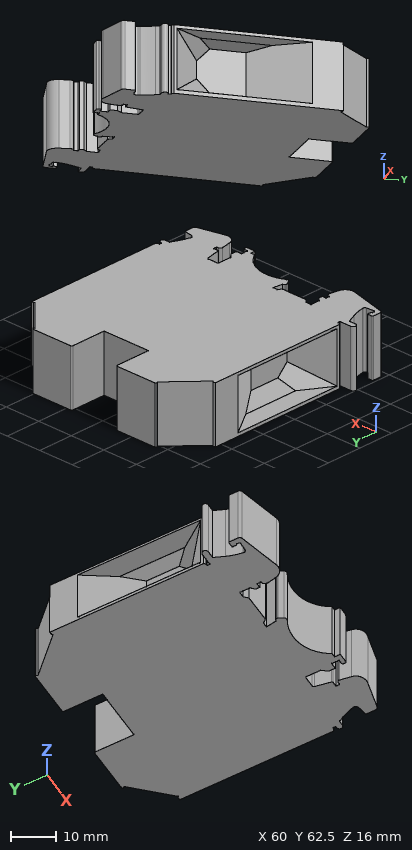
import cadquery as cq
import math

height = 62.5
thickness = 16.0

body_half = 28.3
neck_half = 27.45
top_half = 18.8
shoulder_y = 53.2
shoulder_half = 27.55
shoulder_dip = 0.25
bevel_top_y = 61.75
lip_drop = 0.3
lip_reach = 0.25
slot_half = 6.8
slot_floor_y = 52.25
slot_lip_radius = 0.4
body_bottom_y = 13.4
body_bottom_chamfer = 0.4

tab_top_y = 12.7
rail_y = 11.1
tab_radius = (tab_top_y - rail_y) / 2
left_tab_x = -31.5
right_tab_x = 28.5

hook_radius = 0.75
saddle_x = 0.2
saddle_top_y = 7.5
saddle_radius = 9.7

funnel_depth = 8.3
funnel_straight_depth = 5.05
mouth_y = (14.5, 46.05)
mouth_z = (0.95, 15.2)
floor_y = (21.8, 33.3)
floor_z = (3.8, 14.0)
lower_corner_leg = 13.1
upper_corner_leg = 11.55

min_edge = 0.0005


def rounded_outline(corners):
    """Closed outline through (x, y) corners; a third value rounds that corner."""
    wire = None
    count = len(corners)
    for i, corner in enumerate(corners):
        vertex = cq.Vector(corner[0], corner[1])
        radius = corner[2] if len(corner) > 2 else 0
        before = corners[i - 1]
        after = corners[(i + 1) % count]
        to_before = (cq.Vector(before[0], before[1]) - vertex).normalized()
        to_after = (cq.Vector(after[0], after[1]) - vertex).normalized()
        half_angle = to_before.getAngle(to_after) / 2
        setback = radius / math.tan(half_angle)
        start = vertex + to_before * setback
        if wire is None:
            wire = cq.Workplane("XY").moveTo(start.x, start.y)
        elif (start - end).Length > min_edge:
            wire = wire.lineTo(start.x, start.y)
        end = vertex + to_after * setback
        if radius:
            bisector = (to_before + to_after).normalized()
            middle = vertex + bisector * (radius / math.sin(half_angle) - radius)
            wire = wire.threePointArc((middle.x, middle.y), (end.x, end.y))
    return wire.close()


def mirrored(corners):
    """The same corners on the other side of X = 0, in reverse order."""
    return [(-corner[0], *corner[1:]) for corner in reversed(corners)]


def foot_bottom(toe_x, toe_radius, heel_x, slope, lean, notch_y, notch_radius):
    """Hook, toe and notch corners of a left foot whose rounded toe just touches Y = 0.

    toe_x and heel_x are distances from X = 0; slope and lean are degrees.
    """
    slope = math.radians(slope)
    lean = math.radians(lean)
    half_turn = (math.pi / 2 + slope - lean) / 2
    direction = half_turn - slope
    corner_distance = toe_radius / math.cos(half_turn)
    corner_x = toe_x - corner_distance * math.sin(direction)
    corner_y = toe_radius - corner_distance * math.cos(direction)
    hook_y = corner_y + (heel_x - corner_x) * math.tan(slope)
    notch_x = corner_x - (notch_y - corner_y) * math.tan(lean)
    return [
        (-heel_x, hook_y, hook_radius),
        (-corner_x, corner_y, toe_radius),
        (-notch_x, notch_y, notch_radius),
    ]


body_side = [
    (neck_half, tab_top_y),
    (neck_half, body_bottom_y),
    (body_half - body_bottom_chamfer, body_bottom_y),
    (body_half, body_bottom_y + body_bottom_chamfer),
    (body_half, shoulder_y),
    (shoulder_half, shoulder_y),
    (shoulder_half - shoulder_dip, shoulder_y - shoulder_dip),
    (top_half, bevel_top_y),
    (top_half + lip_reach, height - lip_drop),
    (top_half, height),
    (slot_half, height, slot_lip_radius),
    (slot_half, slot_floor_y),
]

left_tab = [(left_tab_x, tab_top_y, tab_radius), (left_tab_x, rail_y, tab_radius)]
right_tab = [(right_tab_x, rail_y, tab_radius), (right_tab_x, tab_top_y, tab_radius)]

left_foot = [
    (-28.8, rail_y),
    (-26.9, 6.7, 14.4),
    (-26.5, 3.95, 0.5),
    (-29.5, 3.7, 0.4),
    (-29.5, 4.55),
    (-29.25, 4.8),
    (-29.25, 5.9, 0.2),
    (-30.9, 5.9, 0.2),
    *foot_bottom(19.2, 2.5, heel_x=30.9, slope=14, lean=11, notch_y=5.55, notch_radius=1.0),
    (-17.25, 5.55),
    (-17.25, 6.55),
    (-16.05, 6.55),
    (-16.05, 7.6),
    (-17.0, 8.5),
    (-17.0, rail_y),
]

rail_pad = [
    (-15.55, rail_y),
    (-14.55, 10.2),
    (-7.45, 10.2),
    (-6.6, rail_y),
]

saddle_block = [
    (-5.4, rail_y),
    (-5.75, 8.5),
    (-6.4, 8.2, 0.25),
    (-6.4, 7.7, 0.25),
    (-5.3, 5.9, 0.75),
    (-4.7, 6.2),
    (8.6, 2.55),
    (9.75, 2.55),
    (9.75, 1.1),
    (12.5, 1.1, 0.3),
    (12.5, 2.25, 0.5),
    (11.1, 2.25),
    (11.1, 4.1),
    (12.7, 4.1),
    (12.7, 5.8),
    (11.55, 7.2),
    (11.55, rail_y, 0.3),
]

right_foot = [
    (14.9, rail_y, 0.4),
    (15.75, 6.6, 0.25),
    (17.25, 6.6),
    (17.25, 5.7),
    *mirrored(foot_bottom(19.3, 2.75, heel_x=27.7, slope=14, lean=10, notch_y=5.7, notch_radius=0.55)),
    (27.7, 5.1, 0.2),
    (24.25, 5.6, 0.9),
    (25.25, 8.7, 21.9),
    (26.5, rail_y),
]


def make_block():
    """Full-thickness block with the round saddle cut into its underside."""
    corners = left_tab + left_foot + rail_pad + saddle_block + right_foot + right_tab
    corners += body_side + mirrored(body_side)
    block = rounded_outline(corners).extrude(thickness)
    saddle = (
        cq.Workplane("XY")
        .center(saddle_x, saddle_top_y - saddle_radius)
        .circle(saddle_radius)
        .extrude(thickness)
    )
    return block.cut(saddle)


def corner_wedge(z_corner, leg):
    """Tetrahedron that bevels a low-Y funnel corner, from nothing at the mouth to leg at the floor."""
    mouth_x = -body_half
    floor_x = mouth_x + funnel_depth
    y_corner = mouth_y[0]
    apex = (mouth_x, y_corner, z_corner)
    base = [
        (floor_x, y_corner, z_corner),
        (floor_x, y_corner + abs(leg), z_corner),
        (floor_x, y_corner, z_corner + leg),
    ]
    triangles = [base] + [[apex, base[i - 1], base[i]] for i in range(3)]
    faces = []
    for triangle in triangles:
        points = [cq.Vector(*point) for point in triangle]
        faces.append(cq.Face.makeFromWires(cq.Wire.makePolygon(points, close=True)))
    return cq.Workplane(cq.Solid.makeSolid(cq.Shell.makeShell(faces)))


def make_funnel():
    """Left wire funnel: tapered in Y all the way, in Z only near its floor."""
    mouth_x = -body_half
    bend_x = mouth_x + funnel_straight_depth
    floor_x = mouth_x + funnel_depth
    y_taper = (
        cq.Workplane("XY")
        .polyline([
            (mouth_x, mouth_y[0]),
            (floor_x, floor_y[0]),
            (floor_x, floor_y[1]),
            (mouth_x, mouth_y[1]),
        ])
        .close()
        .extrude(thickness)
    )
    z_taper = (
        cq.Workplane("XZ")
        .polyline([
            (mouth_x, mouth_z[0]),
            (bend_x, mouth_z[0]),
            (floor_x, floor_z[0]),
            (floor_x, floor_z[1]),
            (bend_x, mouth_z[1]),
            (mouth_x, mouth_z[1]),
        ])
        .close()
        .extrude(-height)
    )
    funnel = y_taper.intersect(z_taper)
    funnel = funnel.cut(corner_wedge(mouth_z[0], lower_corner_leg))
    return funnel.cut(corner_wedge(mouth_z[1], -upper_corner_leg))


left_funnel = make_funnel()
right_funnel = left_funnel.mirror("YZ")
result = make_block().cut(left_funnel).cut(right_funnel)